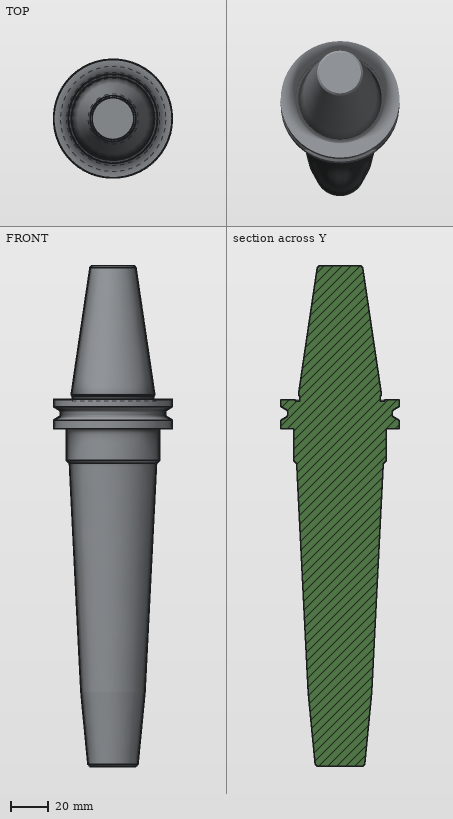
import cadquery as cq


holder_length = 268.5

shank_length = 68.5
gauge_diameter = 44.5
taper_ratio = 7 / 24
shank_chamfer = 1.0
gauge_band = 0.8
neck_chamfer_height = 0.8

neck_radius = 21.7
undercut_radius = 24.0
undercut_depth = 0.8

flange_diameter = 63.5
flange_radius = flange_diameter / 2
flange_top = -3.2
flange_bottom = -19.0
groove_floor_radius = 28.2
groove_center = -10.7
groove_floor_width = 3.0
groove_mouth_width = 7.2
groove_corner_radius = 1.0

collar_radius = 25.0
collar_bottom = -37.5
collar_chamfer = 1.5
body_bottom_radius = 17.2
body_bottom = -160.0
nose_end_radius = 13.5
nose_end = shank_length - holder_length
nose_chamfer = 1.3

gauge_radius = gauge_diameter / 2
shank_end_radius = gauge_radius - shank_length * taper_ratio / 2
body_top_radius = collar_radius - collar_chamfer

shank = [
    (0, shank_length),
    (shank_end_radius - shank_chamfer, shank_length),
    (shank_end_radius, shank_length - shank_chamfer),
    (gauge_radius, 0),
    (gauge_radius, -gauge_band),
    (neck_radius, -gauge_band - neck_chamfer_height),
    (neck_radius, flange_top - undercut_depth),
    (undercut_radius, flange_top - undercut_depth),
    (undercut_radius, flange_top),
]
flange = [
    (flange_radius, flange_top),
    (flange_radius, groove_center + groove_mouth_width / 2),
    (groove_floor_radius, groove_center + groove_floor_width / 2),
    (groove_floor_radius, groove_center - groove_floor_width / 2),
    (flange_radius, groove_center - groove_mouth_width / 2),
    (flange_radius, flange_bottom),
]
body = [
    (collar_radius, flange_bottom),
    (collar_radius, collar_bottom + collar_chamfer),
    (body_top_radius, collar_bottom),
    (body_bottom_radius, body_bottom),
    (nose_end_radius, nose_end + nose_chamfer),
    (nose_end_radius - nose_chamfer, nose_end),
    (0, nose_end),
]

profile = cq.Workplane("XZ").polyline(shank + flange + body).close()
holder = profile.revolve(360, (0, 0, 0), (0, 1, 0))

groove_zone = cq.selectors.BoxSelector(
    (-flange_radius, -flange_radius, groove_center - groove_floor_width),
    (flange_radius, flange_radius, groove_center + groove_floor_width),
    boundingbox=True,
)
result = holder.edges("%CIRCLE").edges(groove_zone).fillet(groove_corner_radius)